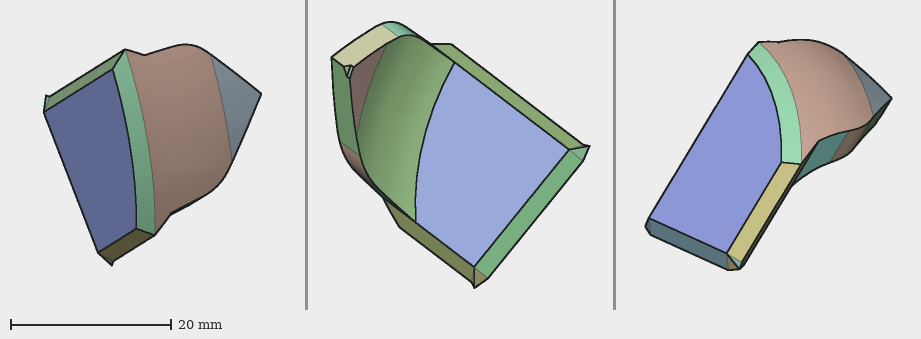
import cadquery as cq

TILT = 45.0

plate_thickness = 3.15
ridge_y = plate_thickness / 2
face_half_width = 9.45
bevel_reach = 1.65
ridge_half_width = face_half_width + bevel_reach
face_start = 12.4
ridge_start = face_start - bevel_reach
corner_tip = 11.45

wall_height = 15.7
shoulder_start = (6.43, 9.12)
shoulder_middle = (8.2, 8.57)
shoulder_end = (9.63, 7.4)

axis_x = 1.5
axis_z = 16.65
outer_base_radius = 35.6
outer_ridge_radius = 37.5
outer_middle = (41.27, 6.43)
outer_bend_end = (42.6, 10.28)
outer_top_radius = 42.95
inner_base_radius = 34.4
inner_middle = (37.7, 6.43)
inner_bend_end = (39.3, 10.97)
inner_top_radius = 39.65
ledge_y = 15.1
ledge_radius = 40.15
rim_radius = 40.7
envelope_length = 47.23


def revolved_body():
    """Disc for the plate with the curved wall rising from its rim."""
    section = (
        cq.Workplane("XY")
        .lineTo(outer_base_radius, 0)
        .lineTo(outer_ridge_radius, ridge_y)
        .threePointArc(outer_middle, outer_bend_end)
        .lineTo(outer_top_radius, wall_height)
        .lineTo(rim_radius, wall_height)
        .lineTo(ledge_radius, ledge_y)
        .lineTo(inner_top_radius, ledge_y)
        .lineTo(*inner_bend_end)
        .threePointArc(inner_middle, (inner_base_radius, plate_thickness))
        .lineTo(0, plate_thickness)
        .close()
    )
    body = section.revolve(360, (0, 0, 0), (0, 1, 0))
    return body.translate((axis_x, 0, axis_z))


def width_envelope():
    """Prism along the length: bevelled plate sides below, tapered wall above."""
    def mirrored(point):
        return (point[0], -point[1])

    outline = (
        cq.Workplane("YZ", origin=(face_start, 0, 0))
        .moveTo(0, -face_half_width)
        .lineTo(0, face_half_width)
        .lineTo(ridge_y, ridge_half_width)
        .lineTo(plate_thickness, face_half_width)
        .lineTo(*shoulder_start)
        .threePointArc(shoulder_middle, shoulder_end)
        .lineTo(wall_height, 0)
        .lineTo(*mirrored(shoulder_end))
        .threePointArc(mirrored(shoulder_middle), mirrored(shoulder_start))
        .lineTo(plate_thickness, -face_half_width)
        .lineTo(ridge_y, -ridge_half_width)
        .close()
    )
    return outline.extrude(envelope_length)


def end_bevel():
    """Pointed edge across the straight end of the plate."""
    return (
        cq.Workplane("XY")
        .polyline([(face_start, 0), (ridge_start, ridge_y), (face_start, plate_thickness)])
        .close()
        .extrude(face_half_width, both=True)
    )


def pointed_corner(side):
    """Faceted tip closing the gap between the end bevel and one side bevel."""
    front = cq.Vector(face_start, 0, side * face_half_width)
    back = cq.Vector(face_start, plate_thickness, side * face_half_width)
    side_ridge = cq.Vector(face_start, ridge_y, side * ridge_half_width)
    end_ridge = cq.Vector(ridge_start, ridge_y, side * face_half_width)
    tip = cq.Vector(corner_tip, ridge_y, side * corner_tip)
    triangles = [
        (front, side_ridge, tip),
        (front, tip, end_ridge),
        (back, tip, side_ridge),
        (back, end_ridge, tip),
        (front, back, side_ridge),
        (front, end_ridge, back),
    ]
    outlines = [cq.Wire.makePolygon(list(triangle), close=True) for triangle in triangles]
    faces = [cq.Face.makeFromWires(outline) for outline in outlines]
    return cq.Workplane(cq.Solid.makeSolid(cq.Shell.makeShell(faces)))


part = revolved_body().intersect(width_envelope())
part = part.union(end_bevel())
for side in (1, -1):
    part = part.union(pointed_corner(side))

result = part.rotate((0, 0, 0), (0, 1, 0), -TILT)